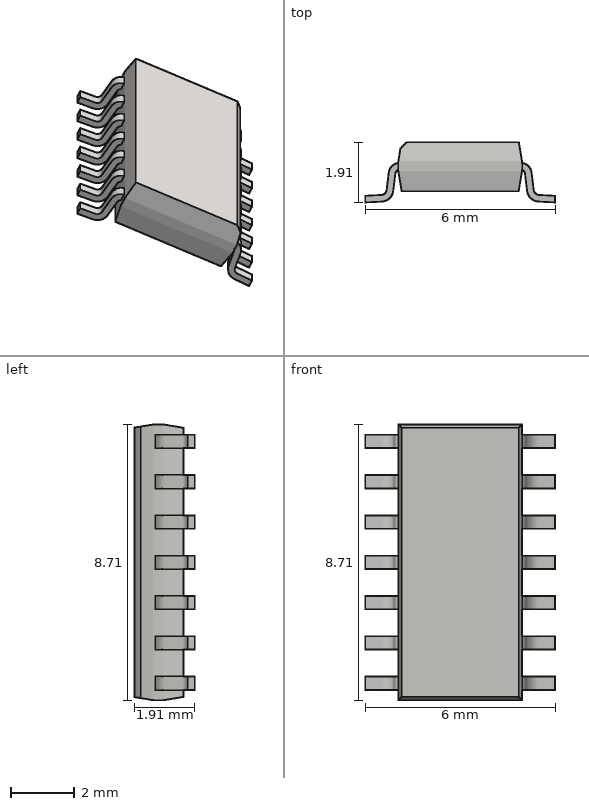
import cadquery as cq
import math


body_length = 8.71
body_width = 3.91
band_height = 0.31
upper_height = 0.6
lower_height = 0.64
draft_angle = 9.5
corner_chamfer = 0.165

leads_per_side = 7
lead_pitch = 1.27
lead_width = 0.43
lead_thickness = 0.22
lead_span = 6.0
overall_height = 1.91
shoulder_bend_radius = 0.25
foot_bend_radius = 0.28
leg_angle = 83.0
foot_angle = 3.0
bend_start = 1.9
embedded_length = 0.435

band_half = band_height / 2
top_y = band_half + upper_height
taper_inset = upper_height * math.tan(math.radians(draft_angle))
half_thickness = lead_thickness / 2
lowest_y = top_y - overall_height


def make_body():
    """Straight central band with a drafted block on each side, chamfered along the -X, +Y edge."""
    band = cq.Workplane("XZ").rect(body_width, body_length).extrude(band_half, both=True)
    lower = band.faces("<Y").workplane().rect(body_width, body_length).extrude(lower_height, taper=draft_angle)
    body = lower.faces(">Y").workplane().rect(body_width, body_length).extrude(upper_height, taper=draft_angle)

    corner_x = taper_inset - body_width / 2
    cut_x = corner_x + corner_chamfer
    chamfer_cutter = (
        cq.Workplane("XY")
        .moveTo(cut_x, top_y)
        .lineTo(cut_x - body_width, top_y)
        .lineTo(cut_x - body_width, top_y - body_width)
        .close()
        .extrude(body_length, both=True)
    )
    return body.cut(chamfer_cutter)


def offset_point(station, offset):
    """Point beside a centreline station; positive offsets lie above the lead."""
    x, y, slope = station
    angle = math.radians(slope)
    return x + offset * math.sin(angle), y + offset * math.cos(angle)


def bend(station, radius, turn):
    """Stations halfway through and at the end of a bend; a positive turn dips downwards."""
    side = math.copysign(radius, turn)
    centre_x, centre_y = offset_point(station, -side)
    slope = station[2]
    stations = []
    for new_slope in (slope + turn / 2, slope + turn):
        x, y = offset_point((centre_x, centre_y, new_slope), side)
        stations.append((x, y, new_slope))
    return stations


def advance(station, length):
    """Station at the end of a straight run."""
    x, y, slope = station
    angle = math.radians(slope)
    return x + length * math.cos(angle), y - length * math.sin(angle), slope


def make_lead():
    """Gull-wing lead on the +X side, centred on Z = 0."""
    leg_slope = math.radians(leg_angle)
    foot_slope = math.radians(foot_angle)
    root = (bend_start - embedded_length, 0.0, 0.0)
    shoulder = (bend_start, 0.0, 0.0)
    shoulder_mid, leg_top = bend(shoulder, shoulder_bend_radius, leg_angle)

    tip_x = lead_span / 2
    tip_y = lowest_y + half_thickness / math.cos(foot_slope)
    tip_top = (tip_x, lowest_y + lead_thickness / math.cos(foot_slope))
    tip_bottom = (tip_x, lowest_y)

    short_foot = bend(leg_top, foot_bend_radius, foot_angle - leg_angle)[1]
    gap_x = tip_x - short_foot[0]
    gap_y = short_foot[1] - tip_y
    spread = math.sin(leg_slope - foot_slope)
    leg_length = (gap_y * math.cos(foot_slope) - gap_x * math.sin(foot_slope)) / spread

    leg_bottom = advance(leg_top, leg_length)
    foot_mid, foot = bend(leg_bottom, foot_bend_radius, foot_angle - leg_angle)

    def above(station):
        return offset_point(station, half_thickness)

    def below(station):
        return offset_point(station, -half_thickness)

    profile = (
        cq.Workplane("XY")
        .moveTo(*above(root))
        .lineTo(*above(shoulder))
        .threePointArc(above(shoulder_mid), above(leg_top))
        .lineTo(*above(leg_bottom))
        .threePointArc(above(foot_mid), above(foot))
        .lineTo(*tip_top)
        .lineTo(*tip_bottom)
        .lineTo(*below(foot))
        .threePointArc(below(foot_mid), below(leg_bottom))
        .lineTo(*below(leg_top))
        .threePointArc(below(shoulder_mid), below(shoulder))
        .lineTo(*below(root))
        .close()
    )
    return profile.extrude(lead_width / 2, both=True)


result = make_body()
right_lead = make_lead()
left_lead = right_lead.mirror("YZ")
for index in range(leads_per_side):
    lead_z = (index - (leads_per_side - 1) / 2) * lead_pitch
    for lead in (right_lead, left_lead):
        result = result.union(lead.translate((0, 0, lead_z)))